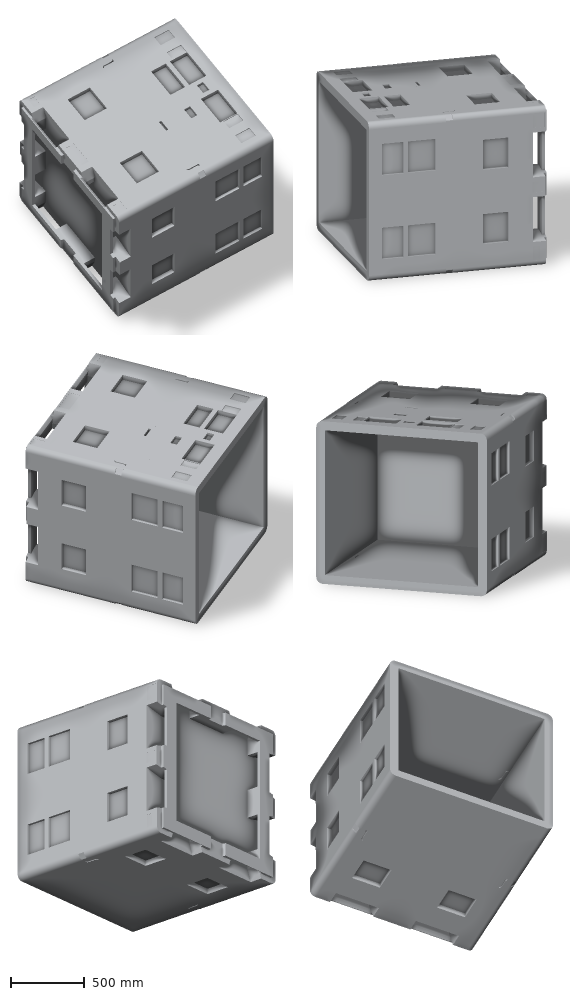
import cadquery as cq


SIZE_X = 1219.0
SIZE_Z = 1130.0
HALF_X = SIZE_X / 2
HALF_Z = SIZE_Z / 2
MOUTH_Y = 635.0
FRAME_BOTTOM_Y = -635.0

SIDES = (-1, 1)
QUADRANTS = [(side_x, side_z) for side_x in SIDES for side_z in SIDES]

BASE_RIM_Y = 89.0
FLAP_END_Y = -4.0
FLOOR_BOTTOM_Y = -524.0
FRAME_TOP_Y = -612.0
CORNER_FOOT_Y = -617.0

WALL = 62.0
FLOOR_TOP_Y = FLOOR_BOTTOM_Y + WALL
INNER_X = HALF_X - WALL
INNER_Z = HALF_Z - WALL
BASE_CORNER_RADIUS = 39.0
WALL_CORNER_RADIUS = 45.0

FLAP_NOTCH_HALF_X = 524.0
FLAP_GAP = 8.0
FLAP_HALF_X = FLAP_NOTCH_HALF_X - FLAP_GAP
FLAP_RADIUS = 17.0
NOTCH_LIP_RADIUS = 20.0

CORNER_FLAT_LEG = 33.0
CORNER_FLAT_LENGTH = 48.0

FRAME_INNER_X = 428.0
FRAME_INNER_Z = 434.0
Z_SLOT_CENTER_X = 300.0
Z_SLOT_WIDTH = 256.0
Z_SLOT_MOUTH_WIDTH = 322.0
Z_SLOT_TAPER_DEPTH = 86.0
X_SLOT_CENTER_Z = 230.0
X_SLOT_WIDTH = 255.0
X_SLOT_MOUTH_WIDTH = 319.0
X_SLOT_TAPER_DEPTH = 146.0

FRAME_OUTER_X = 561.0
FRAME_OUTER_Z = 527.0
FRAME_NOTCH_X = 527.0
FRAME_GAP_TOP = 142.0
FRAME_GAP_BOTTOM = 152.0
FRAME_CHAMFER = 18.0

TOP_POCKET_DEPTH = 39.0
BASE_SIDE_POCKET_DEPTH = 30.0
WALL_POCKET_DEPTH = 20.0
LATCH_DEPTH = 25.0
CARD_DEPTH = 6.0
LABEL_DEPTH = 1.0

BASE_POCKET_Y = -260.0
BASE_POCKET_LENGTH_Y = 180.0
BASE_TOP_POCKET_X = 319.0
BASE_TOP_POCKET_WIDTH = 208.0
BASE_SIDE_POCKET_Z = 264.0
BASE_SIDE_POCKET_HEIGHT = 213.0

WALL_POCKET_Z = 298.0
WALL_POCKET_HEIGHT = 223.0
WALL_POCKETS = [(467.0, 151.0), (262.0, 192.0)]

CORNER_LABEL_Y = (-566.0, 83.0)
SMALL_LABEL_Y = (-550.0, 48.0)
TOP_LABELS = [
    ((-530.0, 76.0), SMALL_LABEL_Y),
    ((0.0, 180.0), (-559.0, 76.0)),
    ((530.0, 76.0), CORNER_LABEL_Y),
]
SIDE_LABELS = [
    ((-471.0, 102.0), SMALL_LABEL_Y),
    ((0.0, 76.0), (-562.0, 83.0)),
    ((474.0, 104.0), CORNER_LABEL_Y),
]

CARD_Y = 484.0
CARD_LENGTH = 115.0
WALL_CARD_X = 494.0
WALL_CARD_WIDTH = 77.0
DOOR_CARD_X = 347.0
DOOR_CARD_WIDTH = 70.0

DOOR_POCKET_X = 189.0
DOOR_POCKET_WIDTH = 236.0
UPPER_DOOR_POCKET_Y = 472.0
UPPER_DOOR_POCKET_LENGTH = 140.0
LOWER_DOOR_POCKET_Y = 310.0
LOWER_DOOR_POCKET_LENGTH = 119.0

DOOR_LATCHES = [(0.0, 77.0, 468.0, 50.0), (127.0, 89.0, 283.0, 48.0)]
WALL_LATCH = (120.0, 88.0, 69.0, 18.0)

DOOR_HALF_X = 400.0
DOOR_END_Y = 94.0
DOOR_BEVEL_X = 80.0
DOOR_BEVEL_Y = 96.0


def block(x_range, y_range, z_range):
    """Axis-aligned box between the given pairs of limits."""
    size = [high - low for low, high in (x_range, y_range, z_range)]
    return (
        cq.Workplane("XY")
        .box(*size, centered=False)
        .translate((x_range[0], y_range[0], z_range[0]))
    )


def span(center, length):
    """Limits of a length laid evenly about a centre."""
    return (center - length / 2, center + length / 2)


def prism_along_y(points, y_range):
    """Prism with an outline of (x, z) points, extruded between two levels of Y."""
    low, high = y_range
    return (
        cq.Workplane("XZ", origin=(0, high, 0))
        .polyline(points)
        .close()
        .extrude(high - low)
    )


def outer_shell(y_range, corner_radius):
    """Full outer block of the container with its long edges rounded."""
    shell = block((-HALF_X, HALF_X), y_range, (-HALF_Z, HALF_Z))
    return shell.edges("|Y").fillet(corner_radius)


def top_pocket(x, width, y, length, depth):
    """Cutter sunk into the +Z face."""
    return block(span(x, width), span(y, length), (HALF_Z - depth, HALF_Z))


def side_pocket(y, length, z, height, depth):
    """Cutter sunk into the -X face."""
    return block((-HALF_X, -HALF_X + depth), span(y, length), span(z, height))


def x_slot(side_x, side_z, y_range):
    """Fork slot from one X face to the middle, narrowing from its mouth."""
    taper_end = HALF_X - X_SLOT_TAPER_DEPTH
    center = X_SLOT_CENTER_Z
    half = X_SLOT_WIDTH / 2
    mouth = X_SLOT_MOUTH_WIDTH / 2
    outline = [
        (0, center - half),
        (taper_end, center - half),
        (HALF_X, center - mouth),
        (HALF_X, center + mouth),
        (taper_end, center + half),
        (0, center + half),
    ]
    return prism_along_y([(side_x * x, side_z * z) for x, z in outline], y_range)


def z_slot(side_x, side_z, y_range):
    """Fork slot from one Z face to the middle, narrowing from its mouth."""
    taper_end = HALF_Z - Z_SLOT_TAPER_DEPTH
    center = Z_SLOT_CENTER_X
    half = Z_SLOT_WIDTH / 2
    mouth = Z_SLOT_MOUTH_WIDTH / 2
    outline = [
        (center - half, 0),
        (center - half, taper_end),
        (center - mouth, HALF_Z),
        (center + mouth, HALF_Z),
        (center + half, taper_end),
        (center + half, 0),
    ]
    return prism_along_y([(side_x * x, side_z * z) for x, z in outline], y_range)


def skid_frame():
    y_range = (FRAME_BOTTOM_Y, FRAME_TOP_Y)
    frame = block((-FRAME_OUTER_X, FRAME_OUTER_X), y_range, (-FRAME_OUTER_Z, FRAME_OUTER_Z))
    opening = block((-FRAME_INNER_X, FRAME_INNER_X), y_range, (-FRAME_INNER_Z, FRAME_INNER_Z))
    frame = frame.cut(opening)

    gap = (
        cq.Workplane("XY", origin=(0, 0, -HALF_Z))
        .polyline([
            (-FRAME_GAP_TOP / 2, FRAME_TOP_Y),
            (FRAME_GAP_TOP / 2, FRAME_TOP_Y),
            (FRAME_GAP_BOTTOM / 2, FRAME_BOTTOM_Y),
            (-FRAME_GAP_BOTTOM / 2, FRAME_BOTTOM_Y),
        ])
        .close()
        .extrude(SIZE_Z)
    )
    frame = frame.cut(gap)

    for side_x, side_z in QUADRANTS:
        notch_limits = sorted((side_x * FRAME_NOTCH_X, side_x * HALF_X))
        notch_zone = block(notch_limits, y_range, (-HALF_Z, HALF_Z))
        frame = frame.cut(x_slot(side_x, side_z, y_range).intersect(notch_zone))

        edge_z = side_z * FRAME_OUTER_Z
        wedge = (
            cq.Workplane("YZ", origin=(-HALF_X, 0, 0))
            .polyline([
                (FRAME_TOP_Y, edge_z),
                (FRAME_TOP_Y - FRAME_CHAMFER, edge_z),
                (FRAME_TOP_Y, edge_z - side_z * FRAME_CHAMFER),
            ])
            .close()
            .extrude(SIZE_X)
        )
        frame = frame.cut(z_slot(side_x, side_z, y_range).intersect(wedge))
    return frame


def cut_feet(tub):
    """Leave eight feet under the floor: four corners and four shorter middles."""
    y_range = (CORNER_FOOT_Y, FLOOR_BOTTOM_Y)
    middle = block((-FRAME_INNER_X, FRAME_INNER_X), y_range, (-FRAME_INNER_Z, FRAME_INNER_Z))
    tub = tub.cut(middle)
    for side_x, side_z in QUADRANTS:
        tub = tub.cut(x_slot(side_x, side_z, y_range))
        tub = tub.cut(z_slot(side_x, side_z, y_range))
    step = (CORNER_FOOT_Y, FRAME_TOP_Y)
    tub = tub.cut(block((-Z_SLOT_CENTER_X, Z_SLOT_CENTER_X), step, (-HALF_Z, HALF_Z)))
    return tub.cut(block((-HALF_X, HALF_X), step, (-X_SLOT_CENTER_Z, X_SLOT_CENTER_Z)))


def flap_block(half_x, z_range):
    """Hinge flap with rounded lower corners, reaching below the base rim."""
    flap = block((-half_x, half_x), (FLAP_END_Y, BASE_RIM_Y), z_range)
    return flap.edges("|Z and <Y").fillet(FLAP_RADIUS)


def base():
    tub = outer_shell((CORNER_FOOT_Y, BASE_RIM_Y), BASE_CORNER_RADIUS)
    tub = tub.cut(block((-INNER_X, INNER_X), (FLOOR_TOP_Y, BASE_RIM_Y), (-INNER_Z, INNER_Z)))
    tub = cut_feet(tub)
    tub = tub.union(skid_frame())

    tub = tub.cut(flap_block(FLAP_NOTCH_HALF_X, (-HALF_Z, HALF_Z)))
    lip_reach = FLAP_NOTCH_HALF_X + NOTCH_LIP_RADIUS
    lips = cq.selectors.BoxSelector(
        (-lip_reach, BASE_RIM_Y - NOTCH_LIP_RADIUS, -HALF_Z),
        (lip_reach, BASE_RIM_Y + NOTCH_LIP_RADIUS, HALF_Z),
    )
    tub = tub.edges("|Z").edges(lips).fillet(NOTCH_LIP_RADIUS)

    flat_range = (BASE_RIM_Y - CORNER_FLAT_LENGTH, BASE_RIM_Y)
    for side_x, side_z in QUADRANTS:
        corner_x = side_x * HALF_X
        corner_z = side_z * HALF_Z
        tub = tub.cut(prism_along_y([
            (corner_x, corner_z),
            (corner_x - side_x * CORNER_FLAT_LEG, corner_z),
            (corner_x, corner_z - side_z * CORNER_FLAT_LEG),
        ], flat_range))

    for side in SIDES:
        on_top = top_pocket(
            side * BASE_TOP_POCKET_X,
            BASE_TOP_POCKET_WIDTH,
            BASE_POCKET_Y,
            BASE_POCKET_LENGTH_Y,
            TOP_POCKET_DEPTH,
        )
        on_side = side_pocket(
            BASE_POCKET_Y,
            BASE_POCKET_LENGTH_Y,
            side * BASE_SIDE_POCKET_Z,
            BASE_SIDE_POCKET_HEIGHT,
            BASE_SIDE_POCKET_DEPTH,
        )
        tub = tub.cut(on_top).cut(on_top.mirror("XY"))
        tub = tub.cut(on_side).cut(on_side.mirror("YZ"))

    for across, along in TOP_LABELS:
        tub = tub.cut(top_pocket(*across, *along, LABEL_DEPTH))
    for across, along in SIDE_LABELS:
        tub = tub.cut(side_pocket(*along, *across, LABEL_DEPTH))
    return tub


def side_wall():
    y_range = (BASE_RIM_Y, MOUTH_Y)
    wall = outer_shell(y_range, WALL_CORNER_RADIUS)
    wall = wall.intersect(block((-HALF_X, -INNER_X), y_range, (-HALF_Z, HALF_Z)))
    for side in SIDES:
        for y, length in WALL_POCKETS:
            wall = wall.cut(
                side_pocket(y, length, side * WALL_POCKET_Z, WALL_POCKET_HEIGHT, WALL_POCKET_DEPTH)
            )
    return wall


def panel():
    z_range = (INNER_Z, HALF_Z)
    sheet = block((-INNER_X, INNER_X), (BASE_RIM_Y, MOUTH_Y), z_range)
    return sheet.union(flap_block(FLAP_HALF_X, z_range))


def door_blank():
    bevel_start_y = DOOR_END_Y + DOOR_BEVEL_Y
    end_half_x = DOOR_HALF_X - DOOR_BEVEL_X
    return (
        cq.Workplane("XY", origin=(0, 0, INNER_Z))
        .polyline([
            (-DOOR_HALF_X, MOUTH_Y),
            (-DOOR_HALF_X, bevel_start_y),
            (-end_half_x, DOOR_END_Y),
            (end_half_x, DOOR_END_Y),
            (DOOR_HALF_X, bevel_start_y),
            (DOOR_HALF_X, MOUTH_Y),
        ])
        .close()
        .extrude(WALL)
    )


def top_wall():
    wall = panel().cut(door_blank())
    for side in SIDES:
        wall = wall.cut(top_pocket(side * WALL_CARD_X, WALL_CARD_WIDTH, CARD_Y, CARD_LENGTH, CARD_DEPTH))
    return wall.cut(top_pocket(*WALL_LATCH, LATCH_DEPTH))


def door_pocket(side, y, length):
    return top_pocket(side * DOOR_POCKET_X, DOOR_POCKET_WIDTH, y, length, TOP_POCKET_DEPTH)


def door():
    leaf = door_blank()
    for side in SIDES:
        leaf = leaf.cut(top_pocket(side * DOOR_CARD_X, DOOR_CARD_WIDTH, CARD_Y, CARD_LENGTH, CARD_DEPTH))
        leaf = leaf.cut(door_pocket(side, UPPER_DOOR_POCKET_Y, UPPER_DOOR_POCKET_LENGTH))
    leaf = leaf.cut(door_pocket(-1, LOWER_DOOR_POCKET_Y, LOWER_DOOR_POCKET_LENGTH))
    for latch in DOOR_LATCHES:
        leaf = leaf.cut(top_pocket(*latch, LATCH_DEPTH))
    return leaf


left_wall = side_wall()
right_wall = left_wall.mirror("YZ")
bottom_wall = panel().mirror("XY")

result = cq.Compound.makeCompound([
    base().val(),
    left_wall.val(),
    right_wall.val(),
    top_wall().val(),
    bottom_wall.val(),
    door().val(),
])